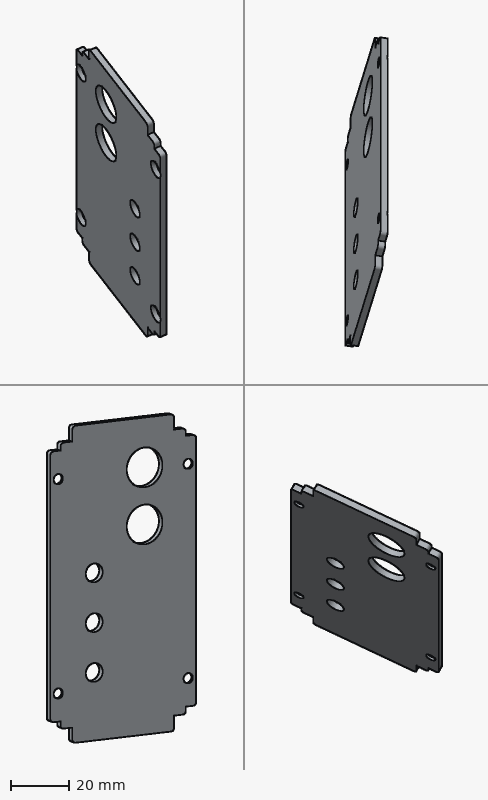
import cadquery as cq

width = 56.9
height = 111.0
thickness = 2.5
corner_radius = 1.2

middle_width = 49.0
tab_width = 39.7
tab_step = 5.4
shoulder_step = 8.1

screw_diameter = 3.5
countersink_diameter = 6.5
countersink_angle = 90
screw_spacing_x = 50.7
screw_spacing_z = 75.0

large_diameter = 13.9
large_x = -8.3
large_top_z = 38.1
large_pitch = 20.0
large_count = 2

small_diameter = 6.5
small_x = 11.3
small_top_z = 3.2
small_pitch = 17.4
small_count = 3


def rounded_slab(size_x, size_z):
    """Centred slab with rounded corners, from the front face at -Y to the back."""
    slab = cq.Workplane("XZ").rect(size_x, size_z).extrude(thickness / 2, both=True)
    return slab.edges("|Y").fillet(corner_radius)


def hole_column(x, top_z, pitch, count):
    """Hole centres running down from top_z."""
    return [(x, top_z - i * pitch) for i in range(count)]


plate = (
    rounded_slab(width, height - 2 * shoulder_step)
    .union(rounded_slab(middle_width, height - 2 * tab_step))
    .union(rounded_slab(tab_width, height))
)

front = cq.Workplane("XZ", origin=(0, -thickness / 2, 0))
large_holes = (
    front.pushPoints(hole_column(large_x, large_top_z, large_pitch, large_count))
    .circle(large_diameter / 2)
    .extrude(-thickness)
)
small_holes = (
    front.pushPoints(hole_column(small_x, small_top_z, small_pitch, small_count))
    .circle(small_diameter / 2)
    .extrude(-thickness)
)
plate = plate.cut(large_holes).cut(small_holes)

result = (
    plate.faces("<Y")
    .workplane(origin=(0, 0, 0))
    .rarray(screw_spacing_x, screw_spacing_z, 2, 2)
    .cskHole(screw_diameter, countersink_diameter, countersink_angle)
)